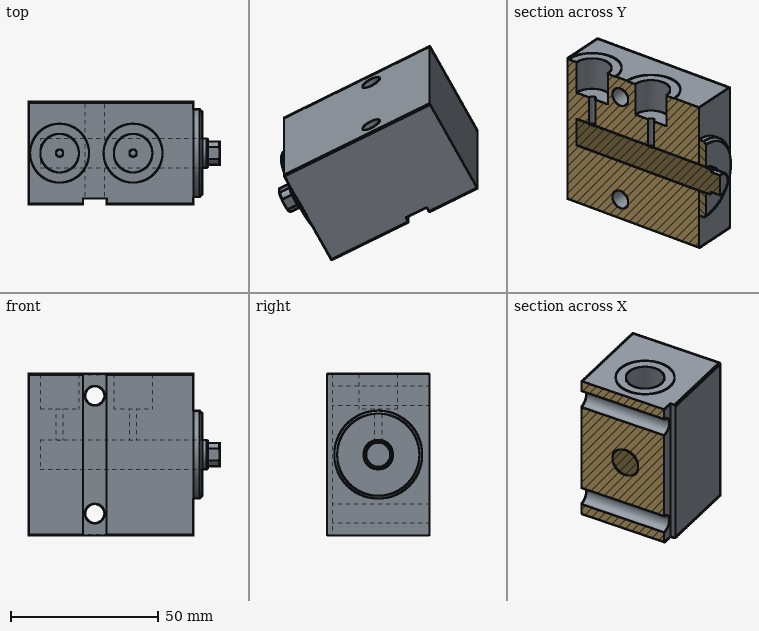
import cadquery as cq

total_length = 65.0

block_length = 56.0
block_width = 35.0
block_height = 55.0
edge_chamfer = 0.4
block_front = -block_width / 2
block_top = block_height / 2

slot_center_x = 22.5
slot_width = 8.0
slot_depth = 2.0
mount_hole_diameter = 6.5
mount_hole_spacing = 40.05

first_port_x = 10.5
port_spacing = 24.95
port_diameter = 13.1
port_depth = 12.0
spotface_diameter = 20.0
spotface_depth = 0.1
feed_hole_diameter = 2.5

gland_diameter = 29.9
gland_thickness = 3.0
gland_chamfer = 1.0
gland_end_x = block_length + gland_thickness

rod_diameter = 10.0
rod_start_x = first_port_x - port_diameter / 2
shoulder_length = 2.0
shoulder_chamfer = 0.5
shoulder_end_x = gland_end_x + shoulder_length
drive_diameter = rod_diameter - 2 * shoulder_chamfer
drive_across_flats = 8.0
drive_length = total_length - shoulder_end_x
drive_chamfer = 0.3


def x_cylinder(diameter, start_x, end_x):
    """Solid cylinder on the X axis."""
    plane = cq.Plane(origin=(start_x, 0, 0), xDir=(0, 0, 1), normal=(1, 0, 0))
    return cq.Workplane(plane).circle(diameter / 2).extrude(end_x - start_x)


def z_cylinder(diameter, x, bottom_z, top_z):
    """Solid upright cylinder on the block's middle plane."""
    return cq.Workplane("XY", origin=(x, 0, bottom_z)).circle(diameter / 2).extrude(top_z - bottom_z)


def make_block():
    """Plain block with its four long edges chamfered."""
    block = cq.Workplane("XY").box(
        block_length, block_width, block_height, centered=(False, True, True)
    )
    return block.edges("|X").chamfer(edge_chamfer)


def make_slot():
    """Cutter for the full-height key slot in the front face."""
    return cq.Workplane("XY").box(slot_width, 2 * slot_depth, block_height).translate(
        (slot_center_x, block_front, 0)
    )


def make_mount_holes():
    """Cutter for the two holes that pass through the block from front to back."""
    return (
        cq.Workplane("XZ", origin=(slot_center_x, 0, 0))
        .rarray(0.65, mount_hole_spacing, 1, 2)
        .circle(mount_hole_diameter / 2)
        .extrude(block_width / 2, both=True)
    )


def make_port(x):
    """Cutter for one port: shallow spotface, port bore and feed hole down to the rod bore."""
    spotface = z_cylinder(spotface_diameter, x, block_top - spotface_depth, block_top)
    bore = z_cylinder(port_diameter, x, block_top - port_depth, block_top)
    feed_hole = z_cylinder(feed_hole_diameter, x, 0, block_top)
    return spotface.union(bore).union(feed_hole)


def make_housing():
    """Block with slot, mounting holes, two ports and the blind rod bore."""
    housing = make_block().cut(make_slot()).cut(make_mount_holes())
    for port_x in (first_port_x, first_port_x + port_spacing):
        housing = housing.cut(make_port(port_x))
    return housing.cut(x_cylinder(rod_diameter, rod_start_x, block_length))


def make_gland():
    """Ring around the rod, chamfered on its outer rim."""
    disc = x_cylinder(gland_diameter, block_length, gland_end_x).faces(">X").chamfer(gland_chamfer)
    return disc.cut(x_cylinder(rod_diameter, block_length, gland_end_x))


def make_drive_end():
    """Round rod end, chamfered at its tip and milled to four flats."""
    stud = x_cylinder(drive_diameter, shoulder_end_x, total_length).faces(">X").chamfer(drive_chamfer)
    square = cq.Workplane("XY").box(
        drive_length, drive_across_flats, drive_across_flats, centered=(False, True, True)
    )
    return stud.intersect(square.translate((shoulder_end_x, 0, 0)))


def make_rod():
    """Rod with a chamfered shoulder and the drive end beyond it."""
    shaft = x_cylinder(rod_diameter, rod_start_x, shoulder_end_x).faces(">X").chamfer(shoulder_chamfer)
    return shaft.union(make_drive_end())


housing = make_housing()
gland = make_gland()
rod = make_rod()

result = cq.Compound.makeCompound([housing.val(), gland.val(), rod.val()])